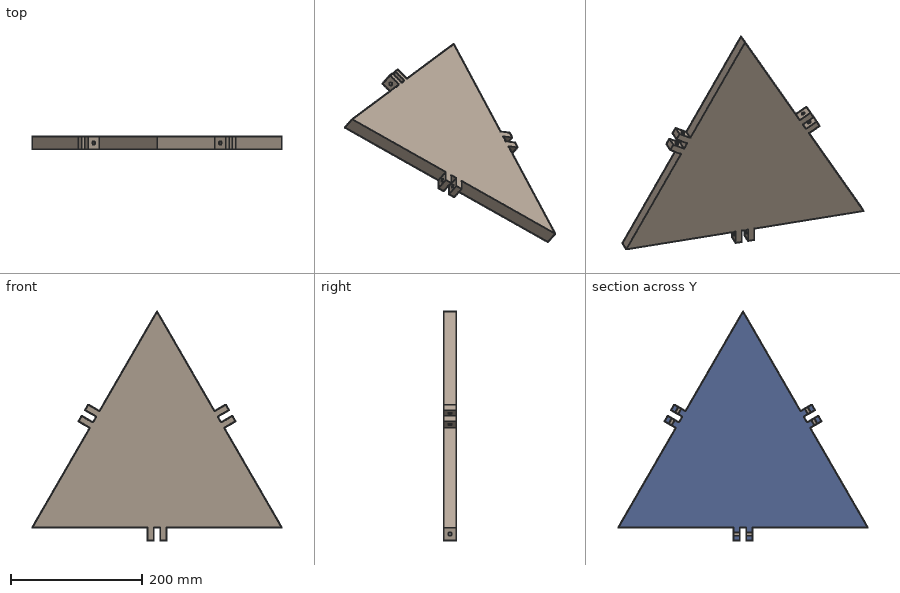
import cadquery as cq
import math

side = 381.0
thickness = 20.0
lug_length = 20.0
lug_width = 10.0
lug_gap = 10.0
pin_diameter = 5.0

inradius = side / (2 * math.sqrt(3))
circumradius = 2 * inradius


def make_plate():
    """Equilateral plate centred on the Y axis, apex toward +Z."""
    outline = [(-side / 2, -inradius), (side / 2, -inradius), (0, circumradius)]
    return cq.Workplane("XZ").polyline(outline).close().extrude(thickness / 2, both=True)


def make_hinge():
    """Pair of drilled lugs below the middle of the bottom edge."""
    lug_centre_x = (lug_gap + lug_width) / 2
    lug_centre_z = -inradius - lug_length / 2
    lugs = (
        cq.Workplane("XZ")
        .pushPoints([(-lug_centre_x, lug_centre_z), (lug_centre_x, lug_centre_z)])
        .rect(lug_width, lug_length)
        .extrude(thickness / 2, both=True)
    )
    pin_hole = (
        cq.Workplane("YZ")
        .center(0, lug_centre_z)
        .circle(pin_diameter / 2)
        .extrude(lug_gap / 2 + lug_width, both=True)
    )
    return lugs.cut(pin_hole)


result = make_plate()
for angle in (0, 120, 240):
    result = result.union(make_hinge().rotate((0, 0, 0), (0, 1, 0), angle))